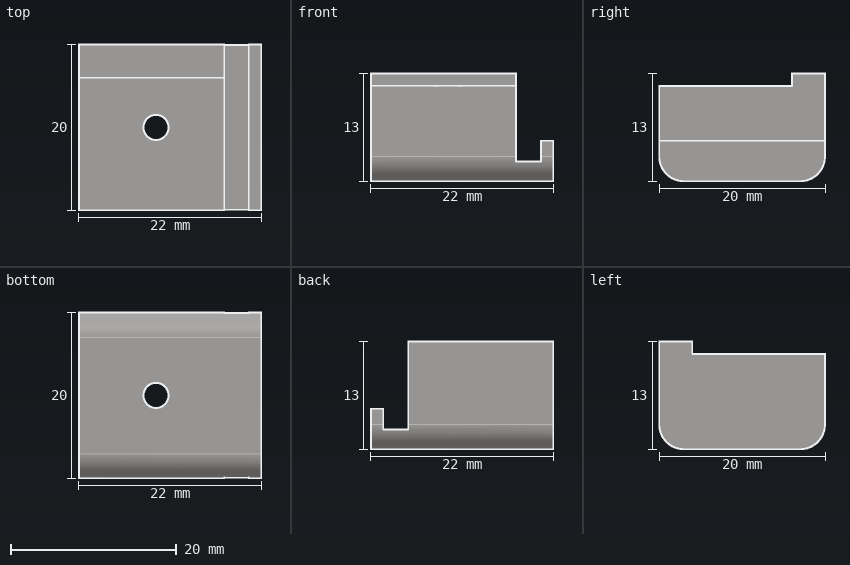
import cadquery as cq

length = 22.0
width = 20.0
height = 13.0

edge_radius = 3.0
step_height = 1.5
step_width = 4.0

lip_thickness = 1.5
lip_height = 4.9
groove_width = 3.0
groove_floor = 2.4

hole_diameter = 3.0
hole_x = 9.3
hole_y = width / 2

block_length = length - lip_thickness - groove_width
deck_height = height - step_height


def make_body():
    """Full-length bar with both lower long edges rounded."""
    bar = cq.Workplane("XY").box(length, width, height, centered=False)
    return bar.edges("|X and <Z").fillet(edge_radius)


def box_above(x_start, x_end, y_end, floor):
    """Cutting box from the floor height up to the top of the part, starting at the front face."""
    return (
        cq.Workplane("XY")
        .box(x_end - x_start, y_end, height - floor, centered=False)
        .translate((x_start, 0, floor))
    )


def make_hole():
    """Cylinder through the full height."""
    return cq.Workplane("XY").center(hole_x, hole_y).circle(hole_diameter / 2).extrude(height)


deck_cut = box_above(0, length, width - step_width, deck_height)

groove_cut = box_above(block_length, block_length + groove_width, width, groove_floor)
lip_cut = box_above(length - lip_thickness, length, width, lip_height)

result = make_body().cut(deck_cut).cut(groove_cut).cut(lip_cut).cut(make_hole())